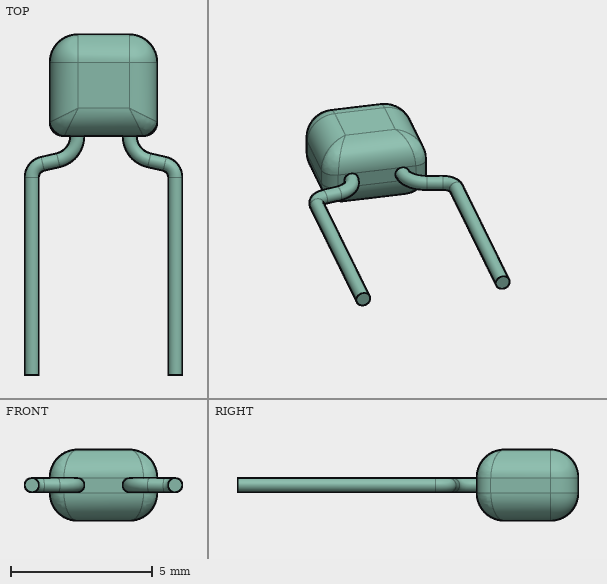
import cadquery as cq
import math

total_length = 12.08
housing_width = 3.82
housing_depth = 3.61
housing_height = 2.54
rim_radius = 1.0
front_corner_radius = 0.5

lead_diameter = 0.51
lead_pitch = 5.09
exit_pitch = 1.86
bend_length = 1.46
bend_angle = math.radians(77)
inner_bend_share = 0.64

lead_reach = total_length - housing_depth


def make_housing():
    """Box with large rim rounds and smaller front corners."""
    box = cq.Workplane("XY").box(
        housing_width, housing_depth, housing_height, centered=(True, False, True)
    )
    rear_rounded = box.edges("|Z and >Y").fillet(rim_radius)
    rim_rounded = rear_rounded.faces("<Z or >Z").edges().fillet(rim_radius)
    return rim_rounded.edges("|Z and <Y").fillet(front_corner_radius)


def make_lead(side):
    """Round wire with an outward S-bend; side is -1 (left) or +1 (right)."""
    exit_x = exit_pitch / 2
    leg_x = lead_pitch / 2
    offset = leg_x - exit_x
    sine = math.sin(bend_angle)
    cosine = math.cos(bend_angle)

    run = (offset * sine - bend_length * (1 - cosine)) / (1 - cosine)
    radius_sum = (bend_length - run * cosine) / sine
    inner_radius = radius_sum * inner_bend_share
    outer_radius = radius_sum - inner_radius

    def inner_point(angle):
        x = exit_x + inner_radius * (1 - math.cos(angle))
        return side * x, -inner_radius * math.sin(angle)

    def outer_point(angle):
        x = leg_x - outer_radius * (1 - math.cos(angle))
        return side * x, -bend_length + outer_radius * math.sin(angle)

    path = (
        cq.Workplane("XY")
        .moveTo(*inner_point(0))
        .threePointArc(inner_point(bend_angle / 2), inner_point(bend_angle))
        .lineTo(*outer_point(bend_angle))
        .threePointArc(outer_point(bend_angle / 2), outer_point(0))
        .lineTo(side * leg_x, -lead_reach)
    )
    section = cq.Workplane("XZ").center(side * exit_x, 0).circle(lead_diameter / 2)
    return section.sweep(path)


housing = make_housing()
leads = [make_lead(side) for side in (-1, 1)]

result = cq.Compound.makeCompound([housing.val(), *[lead.val() for lead in leads]])